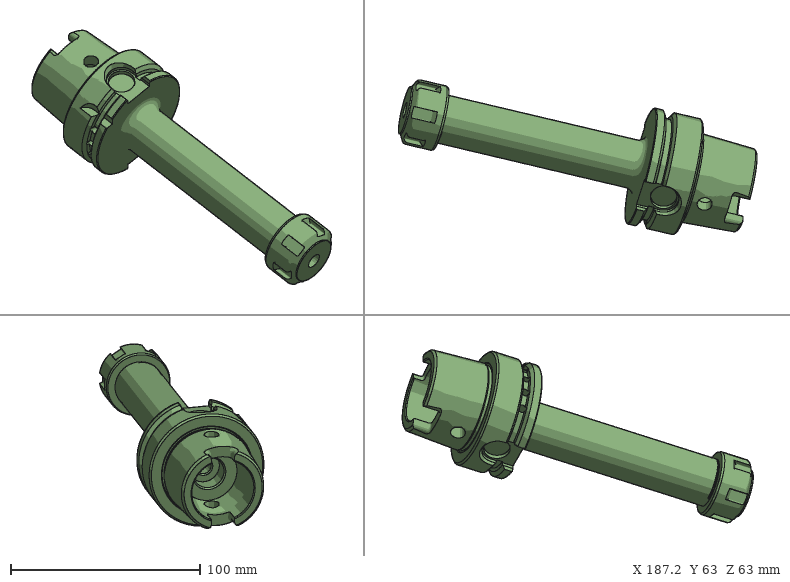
import cadquery as cq
import math


TOTAL_LENGTH = 187.2
TAPER_LENGTH = 32.0
TAIL_X = -TAPER_LENGTH
NOSE_X = TOTAL_LENGTH - TAPER_LENGTH
COOLANT_RADIUS = 4.1
COOLANT_CHAMFER = 0.7

TAPER_SLOPE = 1 / 20
TAPER_BASE_RADIUS = 24.2
TAPER_TAIL_CHAMFER = 1.2
RELIEF_LENGTH = 2.0
RELIEF_RADIUS = 23.5
RELIEF_RAMP = 0.8
FACE_RELIEF_RADIUS = 25.0
FACE_RELIEF_DEPTH = 0.5
MOUTH_RADIUS = 17.0
MOUTH_CHAMFER = 0.6
MOUTH_END_X = -19.4
BORE_FLOOR_RADIUS = 15.3
BORE_FLOOR_X = -4.0
TUBE_SEAT_RADIUS = 8.4
TUBE_SEAT_CHAMFER = 0.8
TUBE_SEAT_DEPTH = 10.0
CROSS_HOLE_RADIUS = 3.9
CROSS_HOLE_X = -9.1

TAIL_SLOT_WIDTH = 12.54
TAIL_SLOT_CORNER = 1.6
TAIL_SLOT_FLARE = 2.8
TAIL_SLOT_FLARE_FOOT = 18.0
UPPER_TAIL_SLOT_DEPTH = 6.0
LOWER_TAIL_SLOT_DEPTH = 10.0

FLANGE_RADIUS = 31.5
FLANGE_LENGTH = 26.0
FLANGE_SEAT_CHAMFER = 1.0
FLANGE_BACK_CHAMFER = 0.5
GROOVE_X = 18.1
GROOVE_RADIUS = 27.5
GROOVE_WALL_RADIUS = 29.3
GROOVE_RIM_HALF_WIDTH = 3.4
GROOVE_WALL_HALF_WIDTH = 1.9
GROOVE_FLOOR_HALF_WIDTH = 1.5

KEY_X = 13.3
KEY_HALF_WIDTH = 8.0
KEY_FLOOR = 26.5
KEY_WALL_HEIGHT = 2.0
KEY_FLARE = 25.0
KEY_POCKET_RADIUS = 7.0
KEY_POCKET_DEPTH = 2.5

NOTCH_WALL = 20.0
NOTCH_END_RADIUS = 7.0
NOTCH_END_X = 13.0

BALANCE_HOLE_RADIUS = 2.0
BALANCE_HOLE_DEPTH = 10.0
BALANCE_HOLE_ANGLES = (25, 5, -15, -35)

SHANK_RADIUS = 13.0
NECK_FILLET = 5.0
STEP_RADIUS = 11.9
STEP_LENGTH = 0.9

NUT_RADIUS = 17.5
NUT_LENGTH = 19.6
NUT_X = NOSE_X - NUT_LENGTH
NUT_BACK_CHAMFER = 1.2
NUT_BACK_CHAMFER_RISE = 0.6
NUT_LIP_RADIUS = 12.9
NUT_LIP_HEIGHT = 0.8
NUT_SHOULDER_ROUND = 1.8
NUT_CONE_ANGLE = 60.0
NUT_FRONT_WALL = 6.0
SHANK_END_X = NOSE_X - NUT_FRONT_WALL

WRENCH_SLOT_WIDTH = 6.2
WRENCH_SLOT_FLOOR = 15.0
WRENCH_SLOT_RAMP = 2.1
WRENCH_SLOT_FILLET = 0.5
WRENCH_SLOT_COUNT = 6
FIRST_SLOT_TURN = 90
FRONT_SLOT_X = 142.0
BACK_SLOT_X = 140.3

CLEARANCE = 5.0


def revolve_about_x(profile):
    """Revolve a closed XY profile about the tool axis."""
    return profile.close().revolve(360, (0, 0, 0), (1, 0, 0))


def bar(radius, start_x, end_x):
    """Round bar on the tool axis."""
    return cq.Workplane("YZ", origin=(start_x, 0, 0)).circle(radius).extrude(end_x - start_x)


def holder_blank():
    """Taper, flange and shank as one turned solid."""
    tail_radius = TAPER_BASE_RADIUS - TAPER_SLOPE * TAPER_LENGTH
    relief_start_radius = TAPER_BASE_RADIUS - TAPER_SLOPE * RELIEF_LENGTH
    groove_start = GROOVE_X - GROOVE_RIM_HALF_WIDTH
    groove_end = GROOVE_X + GROOVE_RIM_HALF_WIDTH
    neck_end = FLANGE_LENGTH + NECK_FILLET
    fillet_middle = NECK_FILLET * (1 - math.sqrt(0.5))
    return revolve_about_x(
        cq.Workplane("XY")
        .moveTo(TAIL_X, 0)
        .lineTo(TAIL_X, tail_radius - TAPER_TAIL_CHAMFER)
        .lineTo(TAIL_X + TAPER_TAIL_CHAMFER, tail_radius)
        .lineTo(-RELIEF_LENGTH, relief_start_radius)
        .lineTo(RELIEF_RAMP - RELIEF_LENGTH, RELIEF_RADIUS)
        .lineTo(FACE_RELIEF_DEPTH, RELIEF_RADIUS)
        .lineTo(FACE_RELIEF_DEPTH, FACE_RELIEF_RADIUS - FACE_RELIEF_DEPTH)
        .lineTo(0, FACE_RELIEF_RADIUS)
        .lineTo(0, FLANGE_RADIUS - FLANGE_SEAT_CHAMFER)
        .lineTo(FLANGE_SEAT_CHAMFER, FLANGE_RADIUS)
        .lineTo(groove_start, FLANGE_RADIUS)
        .lineTo(GROOVE_X - GROOVE_WALL_HALF_WIDTH, GROOVE_WALL_RADIUS)
        .lineTo(GROOVE_X - GROOVE_FLOOR_HALF_WIDTH, GROOVE_RADIUS)
        .lineTo(GROOVE_X + GROOVE_FLOOR_HALF_WIDTH, GROOVE_RADIUS)
        .lineTo(GROOVE_X + GROOVE_WALL_HALF_WIDTH, GROOVE_WALL_RADIUS)
        .lineTo(groove_end, FLANGE_RADIUS)
        .lineTo(FLANGE_LENGTH - FLANGE_BACK_CHAMFER, FLANGE_RADIUS)
        .lineTo(FLANGE_LENGTH, FLANGE_RADIUS - FLANGE_BACK_CHAMFER)
        .lineTo(FLANGE_LENGTH, SHANK_RADIUS + NECK_FILLET)
        .threePointArc(
            (FLANGE_LENGTH + fillet_middle, SHANK_RADIUS + fillet_middle),
            (neck_end, SHANK_RADIUS),
        )
        .lineTo(SHANK_END_X, SHANK_RADIUS)
        .lineTo(SHANK_END_X, 0)
    )


def holder_bore():
    """Stepped clamping bore, coolant tube seat and coolant passage."""
    seat_end = BORE_FLOOR_X + TUBE_SEAT_DEPTH
    return revolve_about_x(
        cq.Workplane("XY")
        .moveTo(TAIL_X, 0)
        .lineTo(TAIL_X, MOUTH_RADIUS + MOUTH_CHAMFER)
        .lineTo(TAIL_X + MOUTH_CHAMFER, MOUTH_RADIUS)
        .lineTo(MOUTH_END_X, MOUTH_RADIUS)
        .lineTo(BORE_FLOOR_X, BORE_FLOOR_RADIUS)
        .lineTo(BORE_FLOOR_X, TUBE_SEAT_RADIUS + TUBE_SEAT_CHAMFER)
        .lineTo(BORE_FLOOR_X + TUBE_SEAT_CHAMFER, TUBE_SEAT_RADIUS)
        .lineTo(seat_end, TUBE_SEAT_RADIUS)
        .lineTo(seat_end, COOLANT_RADIUS + COOLANT_CHAMFER)
        .lineTo(seat_end + COOLANT_CHAMFER, COOLANT_RADIUS)
        .lineTo(SHANK_END_X, COOLANT_RADIUS)
        .lineTo(SHANK_END_X, 0)
    )


def tail_slot(depth):
    """Drive slot in the +Z side of the taper's tail, its long outer edges rounded."""
    half_width = TAIL_SLOT_WIDTH / 2
    slot_top = TAPER_BASE_RADIUS + CLEARANCE
    flare_top = TAIL_SLOT_FLARE_FOOT + TAIL_SLOT_FLARE
    flare_half_width = half_width + TAIL_SLOT_FLARE
    shoulder_half_width = flare_half_width + CLEARANCE
    arc_half_width = half_width + TAIL_SLOT_FLARE * (1 - math.sqrt(0.5))
    arc_height = TAIL_SLOT_FLARE_FOOT + TAIL_SLOT_FLARE * math.sqrt(0.5)
    start_x = TAIL_X - CLEARANCE
    slot = (
        cq.Workplane("YZ", origin=(start_x, 0, 0))
        .moveTo(half_width, 0)
        .lineTo(half_width, TAIL_SLOT_FLARE_FOOT)
        .threePointArc((arc_half_width, arc_height), (flare_half_width, flare_top))
        .lineTo(shoulder_half_width, flare_top)
        .lineTo(shoulder_half_width, slot_top)
        .lineTo(-shoulder_half_width, slot_top)
        .lineTo(-shoulder_half_width, flare_top)
        .lineTo(-flare_half_width, flare_top)
        .threePointArc((-arc_half_width, arc_height), (-half_width, TAIL_SLOT_FLARE_FOOT))
        .lineTo(-half_width, 0)
        .close()
        .extrude(depth + CLEARANCE)
    )
    end_x = TAIL_X + depth
    margin = 1.0
    wall_edges = cq.selectors.BoxSelector(
        (end_x - margin, -shoulder_half_width + margin, margin),
        (end_x + margin, shoulder_half_width - margin, slot_top - margin),
    )
    return slot.faces(">X").edges(wall_edges).fillet(TAIL_SLOT_CORNER)


def keyway_outline(height):
    """Straight keyway with a round end, open towards the shank, sketched at a height above the axis."""
    run_out = FLANGE_LENGTH + CLEARANCE
    return (
        cq.Workplane("XY", origin=(0, 0, height))
        .moveTo(run_out, -KEY_HALF_WIDTH)
        .lineTo(KEY_X, -KEY_HALF_WIDTH)
        .threePointArc((KEY_X - KEY_HALF_WIDTH, 0), (KEY_X, KEY_HALF_WIDTH))
        .lineTo(run_out, KEY_HALF_WIDTH)
        .close()
    )


def keyway():
    """Keyway in the +Z side of the flange, with a flared lead-in and a round pocket in its floor."""
    flare_foot = KEY_FLOOR + KEY_WALL_HEIGHT
    slot = keyway_outline(KEY_FLOOR).extrude(KEY_WALL_HEIGHT)
    lead_in = keyway_outline(flare_foot).extrude(FLANGE_RADIUS - flare_foot, taper=-KEY_FLARE)
    pocket = (
        cq.Workplane("XY", origin=(KEY_X, 0, KEY_FLOOR - KEY_POCKET_DEPTH))
        .circle(KEY_POCKET_RADIUS)
        .extrude(KEY_POCKET_DEPTH)
    )
    return slot.union(lead_in).union(pocket)


def index_notch():
    """Square notch in the flange between -Y and +Z, its end rounded about a Z axis."""
    end_middle = NOTCH_END_RADIUS * math.sqrt(0.5)
    end_y = -NOTCH_WALL - NOTCH_END_RADIUS
    run_out = FLANGE_LENGTH + CLEARANCE
    return (
        cq.Workplane("XY", origin=(0, 0, NOTCH_WALL))
        .moveTo(run_out, -NOTCH_WALL)
        .lineTo(NOTCH_END_X, -NOTCH_WALL)
        .threePointArc(
            (NOTCH_END_X - end_middle, end_y + end_middle),
            (NOTCH_END_X - NOTCH_END_RADIUS, end_y),
        )
        .lineTo(run_out, end_y)
        .close()
        .extrude(FLANGE_RADIUS - NOTCH_WALL)
    )


def balance_hole(angle):
    """Radial blind hole from the groove floor, at an angle above the -Y direction."""
    return (
        cq.Workplane("XZ", origin=(GROOVE_X, 0, 0))
        .workplane(offset=GROOVE_RADIUS - BALANCE_HOLE_DEPTH)
        .circle(BALANCE_HOLE_RADIUS)
        .extrude(BALANCE_HOLE_DEPTH + CLEARANCE)
        .rotate((0, 0, 0), (1, 0, 0), -angle)
    )


def shank_step():
    """Ring cut over the -Y half of the shank just before the nut."""
    start_x = NUT_X - STEP_LENGTH
    half_ring = (
        cq.Workplane("XY")
        .moveTo(start_x, -STEP_RADIUS)
        .lineTo(NUT_X, -STEP_RADIUS)
        .lineTo(NUT_X, -SHANK_RADIUS - CLEARANCE)
        .lineTo(start_x, -SHANK_RADIUS - CLEARANCE)
        .close()
        .revolve(180, (0, 0, 0), (1, 0, 0))
    )
    return half_ring.rotate((0, 0, 0), (1, 0, 0), -90)


def make_holder():
    cross_hole = (
        cq.Workplane("XY", origin=(CROSS_HOLE_X, 0, 0))
        .circle(CROSS_HOLE_RADIUS)
        .extrude(TAPER_BASE_RADIUS + CLEARANCE, both=True)
    )
    holder = holder_blank().cut(holder_bore()).cut(cross_hole)
    holder = holder.cut(tail_slot(UPPER_TAIL_SLOT_DEPTH))
    holder = holder.cut(tail_slot(LOWER_TAIL_SLOT_DEPTH).rotate((0, 0, 0), (1, 0, 0), 180))
    for turn in (0, 180):
        holder = holder.cut(keyway().rotate((0, 0, 0), (1, 0, 0), turn))
    holder = holder.cut(index_notch())
    for angle in BALANCE_HOLE_ANGLES:
        holder = holder.cut(balance_hole(angle))
    return holder.cut(shank_step())


def wrench_slot(start_x):
    """Flat-bottomed wrench slot on the +Z side, open at the nose, with a sloped closed end."""
    overshoot = 1.0
    slope = WRENCH_SLOT_RAMP / (NUT_RADIUS - WRENCH_SLOT_FLOOR)
    top = NUT_RADIUS + overshoot
    open_end = NOSE_X + CLEARANCE
    return (
        cq.Workplane("XZ")
        .moveTo(start_x + WRENCH_SLOT_RAMP, WRENCH_SLOT_FLOOR)
        .lineTo(open_end, WRENCH_SLOT_FLOOR)
        .lineTo(open_end, top)
        .lineTo(start_x - slope * overshoot, top)
        .close()
        .extrude(WRENCH_SLOT_WIDTH / 2, both=True)
        .faces("<Z")
        .edges("|X or <X")
        .fillet(WRENCH_SLOT_FILLET)
    )


def make_nut():
    lip_x = NOSE_X - NUT_LIP_HEIGHT
    angle = math.radians(NUT_CONE_ANGLE)
    cone_radius = NUT_RADIUS - NUT_SHOULDER_ROUND * (1 - math.cos(angle))
    cone_x = lip_x - (cone_radius - NUT_LIP_RADIUS) / math.tan(angle)
    round_start_x = cone_x - NUT_SHOULDER_ROUND * math.sin(angle)
    nut = revolve_about_x(
        cq.Workplane("XY")
        .moveTo(NUT_X, 0)
        .lineTo(NUT_X, NUT_RADIUS - NUT_BACK_CHAMFER_RISE)
        .lineTo(NUT_X + NUT_BACK_CHAMFER, NUT_RADIUS)
        .lineTo(round_start_x, NUT_RADIUS)
        .tangentArcPoint((cone_x, cone_radius), relative=False)
        .lineTo(lip_x, NUT_LIP_RADIUS)
        .lineTo(NOSE_X, NUT_LIP_RADIUS)
        .lineTo(NOSE_X, 0)
    )
    nut = nut.cut(bar(SHANK_RADIUS, NUT_X, SHANK_END_X))
    nut = nut.cut(bar(COOLANT_RADIUS, SHANK_END_X, NOSE_X))
    for index in range(WRENCH_SLOT_COUNT):
        turn = FIRST_SLOT_TURN + index * 360 / WRENCH_SLOT_COUNT
        faces_front = math.sin(math.radians(turn)) > 0
        start_x = FRONT_SLOT_X if faces_front else BACK_SLOT_X
        nut = nut.cut(wrench_slot(start_x).rotate((0, 0, 0), (1, 0, 0), turn))
    return nut


holder = make_holder()
nut = make_nut()
result = cq.Compound.makeCompound([holder.val(), nut.val()])